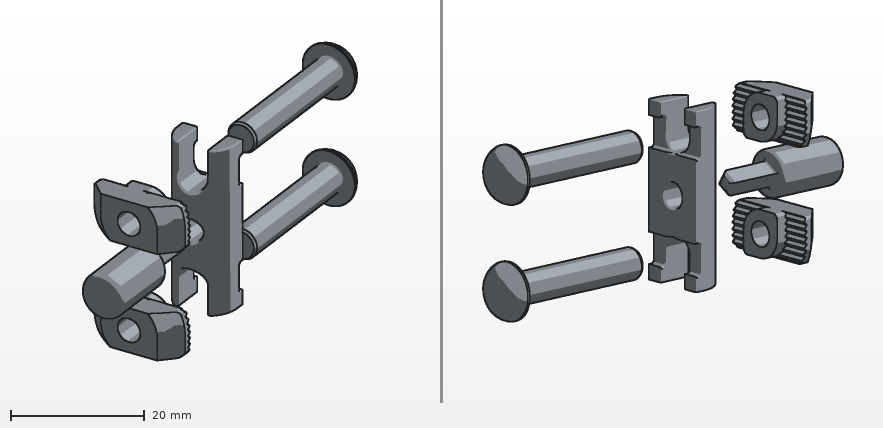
import cadquery as cq
import math

screw_pitch = 18.0
screw_heights = (-screw_pitch / 2, screw_pitch / 2)

pin_diameter = 7.5
pin_length = 12.5
pin_front_fillet = 1.0
pin_back_fillet = 0.6
bar_side = 2.8
bar_end = 21.1
bar_turn = 58
bar_tip_fillet = 0.8
bar_root_fillet = 0.35

nut_front = 7.8
nut_width = 16.0
nut_height = 7.5
boss_width = nut_height
nut_chamfer_start = 10.9
nut_chamfer_angle = 45
nut_tooth_tip = 12.3
nut_boss_end = 13.9
nut_corner_fillet = 1.0
nut_hole_diameter = 4.0
tooth_pitch = 1.0
tooth_depth = tooth_pitch / 2
groove_count = 8

clamp_radius = 5.35
clamp_axis = 30.2
clamp_back = 31.8
clamp_length = 28.0
clamp_front = clamp_axis - clamp_radius
clamp_y_range = (clamp_front, clamp_back)
clamp_z_range = (-clamp_length / 2, clamp_length / 2)
clamp_rim_fillet = 0.3
slot_width = 5.05
bar_hole_diameter = 4.05
opening_fillet = 0.5
notch_width = 5.0
notch_depth = 1.0
notch_fillet = 0.5

screw_diameter = 5.05
screw_tip = 39.8
screw_chamfer_length = 0.5
screw_chamfer_depth = 0.3
head_diameter = 9.2
head_seat = 64.75
head_rim = 0.4
head_top_diameter = 4.45
head_top = 67.5
head_shoulder_radius = 3.8
head_shoulder_drop = 0.9
head_neck_fillet = 0.4

select_margin = 0.035


def plane_at(y, z=0):
    """Sketch plane facing +Y, with its local axes along -X and Z."""
    return cq.Workplane(cq.Plane((0, y, z), (-1, 0, 0), (0, 1, 0)))


def edges_inside(x_range, y_range, z_range):
    """Selector of the edges that lie wholly inside a box."""
    low, high = zip(
        *[(low - select_margin, high + select_margin) for low, high in (x_range, y_range, z_range)]
    )
    return cq.selectors.BoxSelector(low, high, boundingbox=True)


def make_pin():
    handle = plane_at(0).circle(pin_diameter / 2).extrude(pin_length)
    handle = handle.faces("<Y").edges().fillet(pin_front_fillet)
    handle = handle.faces(">Y").edges().fillet(pin_back_fillet)
    bar = plane_at(pin_length).rect(bar_side, bar_side).extrude(bar_end - pin_length)
    bar = bar.faces(">Y").edges().fillet(bar_tip_fillet)
    bar = bar.rotate((0, 0, 0), (0, 1, 0), bar_turn)
    root = edges_inside((-bar_side, bar_side), (pin_length, pin_length), (-bar_side, bar_side))
    return handle.union(bar).edges(root).fillet(bar_root_fillet)


def turn_lock_outline(y, width):
    """Square sketch facing -Y whose upper right and lower left quarters are round."""
    half = width / 2
    bow = half * math.sqrt(0.5)
    return (
        cq.Workplane(cq.Plane((0, y, 0), (1, 0, 0), (0, -1, 0)))
        .moveTo(-half, half)
        .lineTo(0, half)
        .threePointArc((bow, bow), (half, 0))
        .lineTo(half, -half)
        .lineTo(0, -half)
        .threePointArc((-bow, -bow), (-half, 0))
        .close()
    )


def make_wings():
    """Cross bar of the nut: its ends follow the turning circle and are bevelled at the front."""
    slab_length = nut_tooth_tip - nut_front
    slab = cq.Workplane("XY").box(nut_width, slab_length, nut_height)
    slab = slab.translate((0, nut_front + slab_length / 2, 0))
    rim = turn_lock_outline(nut_tooth_tip, nut_width).extrude(slab_length)
    wings = slab.intersect(rim).edges("|Y and (<Z or >Z)").fillet(nut_corner_fillet)

    straight = turn_lock_outline(nut_tooth_tip, nut_width).extrude(nut_tooth_tip - nut_chamfer_start)
    bevel = turn_lock_outline(nut_chamfer_start, nut_width).extrude(
        nut_chamfer_start - nut_front, taper=nut_chamfer_angle
    )
    return wings.intersect(straight.union(bevel))


def tooth_grooves():
    """V grooves along X that leave a row of teeth, one of them in the middle of the nut."""
    grooves = cq.Workplane("YZ")
    for index in range(groove_count):
        z = (index - (groove_count - 1) / 2) * tooth_pitch
        grooves = (
            grooves.moveTo(nut_tooth_tip, z - tooth_pitch / 2)
            .lineTo(nut_tooth_tip - tooth_depth, z)
            .lineTo(nut_tooth_tip, z + tooth_pitch / 2)
            .close()
        )
    return grooves.extrude(nut_width, both=True)


def make_nut(z):
    wings = make_wings().cut(tooth_grooves())
    boss = turn_lock_outline(nut_boss_end, boss_width).extrude(nut_boss_end - nut_chamfer_start)
    boss = boss.edges("|Y and ((<X and >Z) or (>X and <Z))").fillet(nut_corner_fillet)
    hole = plane_at(nut_front).circle(nut_hole_diameter / 2).extrude(nut_boss_end - nut_front)
    return wings.union(boss).cut(hole).translate((0, 0, z))


def cross_notch(z):
    """Notch across the back of the clamp, with rounded inner corners."""
    notch = cq.Workplane("XY").box(2 * clamp_radius, 2 * notch_depth, notch_width)
    notch = notch.edges("|X and <Y").fillet(notch_fillet)
    return notch.translate((0, clamp_back, z))


def screw_slot(z):
    """Slot with a round inner end at the screw axis, open at the near end of the clamp."""
    depth = clamp_back - clamp_front
    round_end = plane_at(clamp_front, z).circle(slot_width / 2).extrude(depth)
    open_end = math.copysign(clamp_length / 2, z)
    mouth = plane_at(clamp_front, (z + open_end) / 2).rect(slot_width, abs(open_end - z)).extrude(depth)
    return round_end.union(mouth)


def bar_hole():
    return plane_at(clamp_front).circle(bar_hole_diameter / 2).extrude(clamp_back - clamp_front)


def opening_edges():
    """Edges around the slots and the hole, without the lines along Y inside them."""
    half_slot = slot_width / 2
    around = edges_inside((-half_slot, half_slot), clamp_y_range, clamp_z_range)
    return around - cq.selectors.ParallelDirSelector(cq.Vector(0, 1, 0))


def rim_edges():
    """Edges of both ends and the back edges of both sides, notches included."""
    side_y_range = (clamp_axis + 2 * select_margin, clamp_back)
    left = edges_inside((-clamp_radius, -clamp_radius), side_y_range, clamp_z_range)
    right = edges_inside((clamp_radius, clamp_radius), side_y_range, clamp_z_range)
    bottom, top = [
        edges_inside((-clamp_radius, clamp_radius), clamp_y_range, (end, end)) for end in clamp_z_range
    ]
    return left + right + bottom + top


def make_clamp():
    """Half-round bar with its flat face at the back."""
    clamp = (
        cq.Workplane("XY")
        .moveTo(-clamp_radius, clamp_back)
        .lineTo(-clamp_radius, clamp_axis)
        .threePointArc((0, clamp_front), (clamp_radius, clamp_axis))
        .lineTo(clamp_radius, clamp_back)
        .close()
        .extrude(clamp_length / 2, both=True)
    )
    for z in screw_heights:
        clamp = clamp.cut(cross_notch(z)).cut(screw_slot(z))
    clamp = clamp.cut(bar_hole())
    clamp = clamp.edges(opening_edges()).fillet(opening_fillet)
    return clamp.edges(rim_edges()).fillet(clamp_rim_fillet)


def make_screw(z):
    """Button-head screw, turned about its axis from a half profile of radius and Y."""
    radius = screw_diameter / 2
    head_radius = head_diameter / 2
    neck_bow = head_neck_fillet * (1 - math.sqrt(0.5))
    screw = (
        cq.Workplane("XY")
        .moveTo(0, screw_tip)
        .lineTo(radius - screw_chamfer_depth, screw_tip)
        .lineTo(radius, screw_tip + screw_chamfer_length)
        .lineTo(radius, head_seat - head_neck_fillet)
        .threePointArc((radius + neck_bow, head_seat - neck_bow), (radius + head_neck_fillet, head_seat))
        .lineTo(head_radius, head_seat)
        .lineTo(head_radius, head_seat + head_rim)
        .threePointArc(
            (head_shoulder_radius, head_top - head_shoulder_drop), (head_top_diameter / 2, head_top)
        )
        .lineTo(0, head_top)
        .close()
        .revolve(360, (0, 0, 0), (0, 1, 0))
    )
    return screw.translate((0, 0, z))


pin = make_pin()
clamp = make_clamp()
nuts = [make_nut(z) for z in screw_heights]
screws = [make_screw(z) for z in screw_heights]

result = cq.Compound.makeCompound(
    [pin.val(), clamp.val(), *[nut.val() for nut in nuts], *[screw.val() for screw in screws]]
)